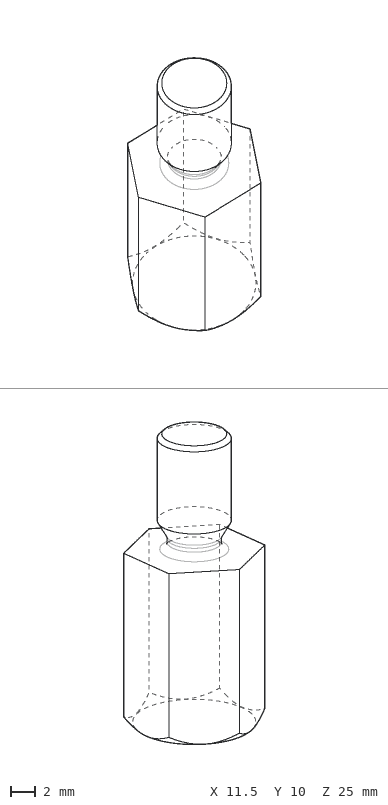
import cadquery as cq
import math

across_flats = 10.0
across_corners = across_flats / math.cos(math.radians(30))
body_height = 15.0
base_radius = 4.98

total_height = 25.0
stud_radius = 6.0 / 2
stud_tip_chamfer = 0.38
stud_start_z = 17.5

neck_radius = 4.38 / 2
neck_fillet = 0.6
cone_angle = math.radians(30)


def make_body():
    """Hexagonal prism with corners turned off at 45 degrees at the bottom."""
    prism = cq.Workplane("XY").polygon(6, across_corners).extrude(body_height)
    clear_radius = across_corners / 2 + 0.25
    cone_height = clear_radius - base_radius
    envelope = (
        cq.Workplane("XZ")
        .lineTo(base_radius, 0)
        .lineTo(clear_radius, cone_height)
        .lineTo(clear_radius, body_height)
        .lineTo(0, body_height)
        .close()
        .revolve(360, (0, 0, 0), (0, 1, 0))
    )
    return prism.intersect(envelope)


def make_stud():
    """Turned stud whose filleted undercut neck blends into the body."""
    center_r = neck_radius + neck_fillet

    cone_bottom_r = center_r - neck_fillet * math.cos(cone_angle)
    cone_bottom_z = stud_start_z - (stud_radius - cone_bottom_r) / math.tan(cone_angle)
    neck_top_z = cone_bottom_z - neck_fillet * math.sin(cone_angle)
    upper_mid = (
        center_r - neck_fillet * math.cos(cone_angle / 2),
        neck_top_z + neck_fillet * math.sin(cone_angle / 2),
    )

    neck_bottom_z = body_height + neck_fillet
    diagonal = neck_fillet * math.sqrt(0.5)
    lower_mid = (center_r - diagonal, neck_bottom_z - diagonal)

    return (
        cq.Workplane("XZ")
        .moveTo(0, body_height)
        .lineTo(center_r, body_height)
        .threePointArc(lower_mid, (neck_radius, neck_bottom_z))
        .lineTo(neck_radius, neck_top_z)
        .threePointArc(upper_mid, (cone_bottom_r, cone_bottom_z))
        .lineTo(stud_radius, stud_start_z)
        .lineTo(stud_radius, total_height - stud_tip_chamfer)
        .lineTo(stud_radius - stud_tip_chamfer, total_height)
        .lineTo(0, total_height)
        .close()
        .revolve(360, (0, 0, 0), (0, 1, 0))
    )


result = make_body().union(make_stud())